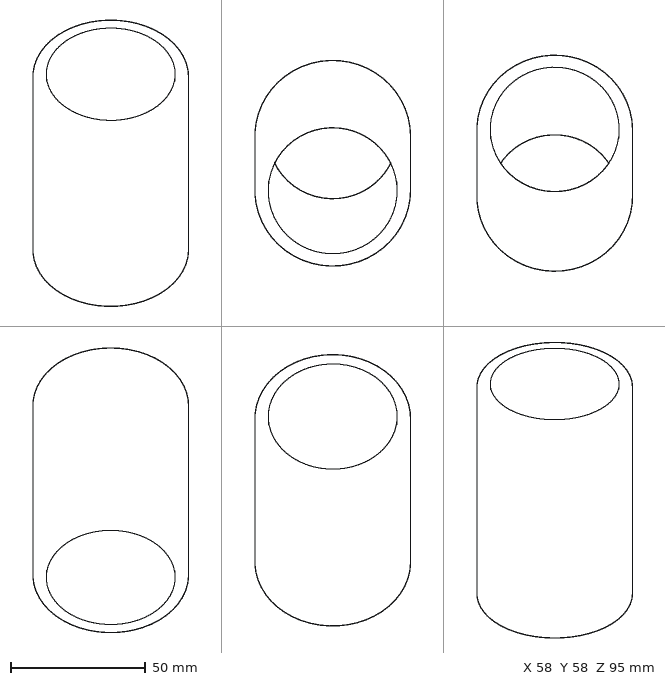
import cadquery as cq

length = 95.0
outer_diameter = 58.0
bore_diameter = 48.0
rim_radius = 1.5

body = cq.Workplane("XY").circle(outer_diameter / 2).extrude(length)
body = body.faces("<Z or >Z").edges().fillet(rim_radius)

bore = cq.Workplane("XY").circle(bore_diameter / 2).extrude(length)

result = body.cut(bore)